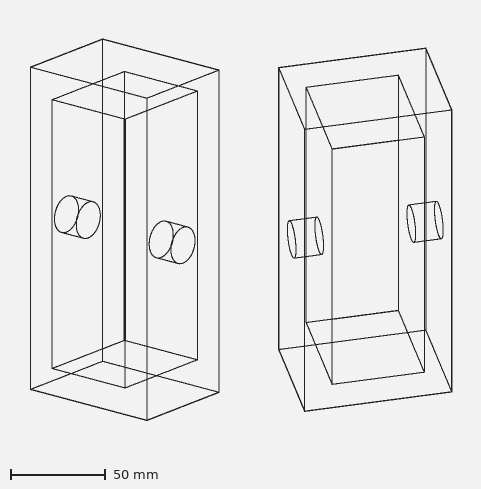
import cadquery as cq

width = 80.0
depth = 60.0
height = 180.0

wall = 15.0
hole_diameter = 20.0

frame = (
    cq.Workplane("XZ")
    .rect(width, height)
    .rect(width - 2 * wall, height - 2 * wall)
    .extrude(depth / 2, both=True)
)

cross_hole = cq.Workplane("YZ").circle(hole_diameter / 2).extrude(width, both=True)

result = frame.cut(cross_hole)